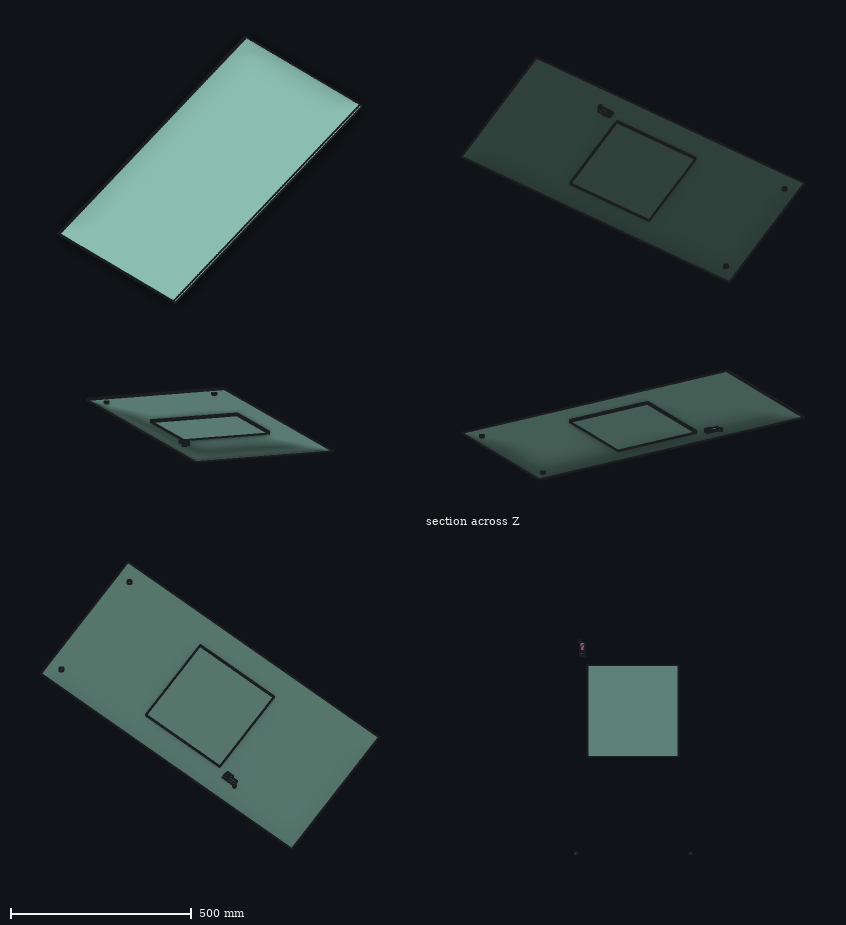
import cadquery as cq

panel_width = 406.4
panel_length = 863.6
panel_thickness = 4.7625
edge_land = panel_thickness / 3
bevel_width = 2 * (panel_thickness - edge_land)

overall_height = 11.37
max_depth = overall_height - panel_thickness

sleeve_size = 254.0
sleeve_depth = 6.35
sleeve_wall = sleeve_depth / 4
sleeve_side_wall = 2.0

foot_spacing = 317.5
foot_y = -393.7
flange_diameter = 12.7
flange_depth = 2.4
stem_diameter = 8.8
stem_depth = 4.8

post_x = (-152.0, -143.5)
post_y = (190.8, 196.5)
bridge_x = (-147.6, -132.6)
bridge_y = (151.5, post_y[0])
bridge_top_depth = 3.8
bridge_depth = 4.8
block_y = (174.0, post_y[0])
inset = 1.0
leg_x = (bridge_x[0] + inset, bridge_x[1] - inset)
tab_depth = 2.5
tab_x = (bridge_x[0], -sleeve_size / 2)
tab_y_ranges = ((165.0, block_y[0]), (154.2, 161.8))
runner_x = (-139.6, bridge_x[1])
runner_y = (bridge_y[0] + inset, bridge_y[1])


def make_panel():
    half_bottom = panel_width / 2
    half_top = half_bottom - bevel_width
    return (
        cq.Workplane("XZ")
        .polyline([
            (-half_bottom, 0),
            (half_bottom, 0),
            (half_bottom, edge_land),
            (half_top, panel_thickness),
            (-half_top, panel_thickness),
            (-half_bottom, edge_land),
        ])
        .close()
        .extrude(panel_length / 2, both=True)
    )


def box_below(x_range, y_range, upper_depth, lower_depth):
    """Box under the panel, between two depths measured down from its underside."""
    size_x = x_range[1] - x_range[0]
    size_y = y_range[1] - y_range[0]
    box = cq.Workplane("XY").box(size_x, size_y, lower_depth - upper_depth, centered=False)
    return box.translate((x_range[0], y_range[0], -lower_depth))


def make_sleeve():
    half = sleeve_size / 2
    half_opening = half - sleeve_side_wall
    body = box_below((-half, half), (-half, half), 0, sleeve_depth)
    opening = box_below(
        (-half_opening, half_opening), (-half, half), sleeve_wall, sleeve_depth - sleeve_wall
    )
    return body.cut(opening)


def make_foot(x):
    flange = cq.Workplane("XY").circle(flange_diameter / 2).extrude(-flange_depth)
    stem = cq.Workplane("XY").circle(stem_diameter / 2).extrude(-stem_depth)
    return flange.union(stem).translate((x, foot_y, 0))


def make_latch():
    post = box_below(post_x, post_y, 0, max_depth)
    bridge = box_below(bridge_x, bridge_y, bridge_top_depth, bridge_depth)
    block = box_below(bridge_x, block_y, 0, bridge_depth)
    runner = box_below(runner_x, runner_y, bridge_depth, max_depth)
    latch = post.union(bridge).union(block).union(runner)
    for tab_y in tab_y_ranges:
        tab = box_below(tab_x, tab_y, 0, tab_depth)
        leg_y = (tab_y[0] + inset, tab_y[1])
        leg = box_below(leg_x, leg_y, 0, bridge_top_depth)
        latch = latch.union(tab).union(leg)
    return latch


result = make_panel().union(make_sleeve()).union(make_latch())
for side in (-1, 1):
    result = result.union(make_foot(side * foot_spacing / 2))